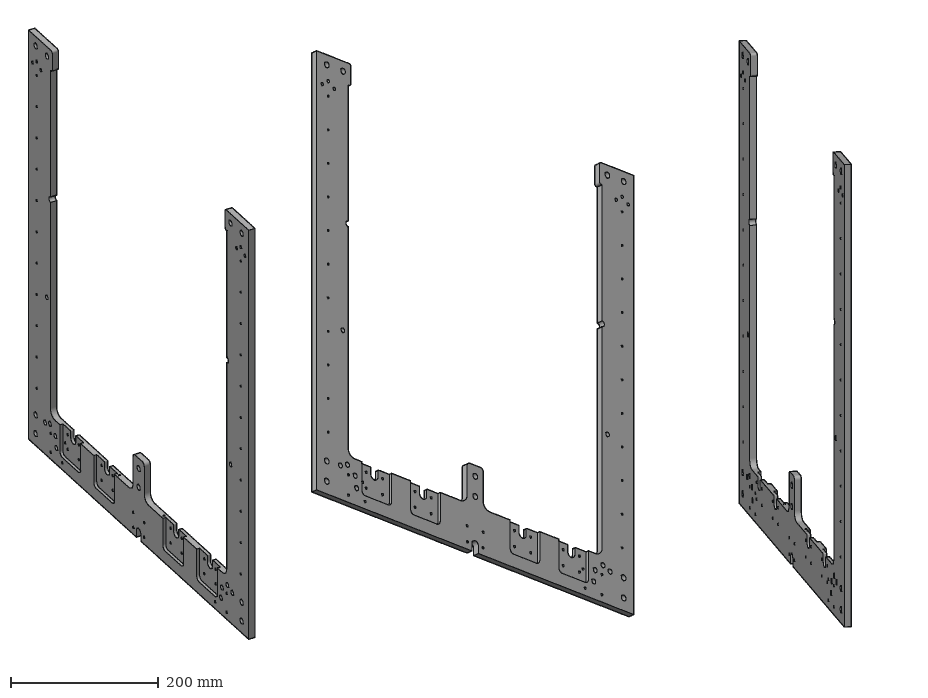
import cadquery as cq


WIDTH = 588.0
HEIGHT = 654.0
THICKNESS = 10.0
ARM_WIDTH = 59.0
CROSSBAR_HEIGHT = 68.5
INNER_CORNER_RADIUS = 12.0

HEAD_WIDTH = 63.5
HEAD_HEIGHT = 33.0
HEAD_CORNER_RADIUS = 3.0
HEAD_HOLE_TOP_DISTANCE = 15.0

TAB_WIDTH = 30.0
TAB_TOP = 129.5
TAB_CORNER_RADIUS = 5.0

HOLE_PITCH = 30.0
MOUNT_DIAMETER = 8.5
MOUNT_EDGE_DISTANCE = 19.0

TAB_HOLE_DIAMETER = 8.5
TAB_HOLE_TOP_DISTANCE = 16.5

ROW_DIAMETER = 2.55
ROW_EDGE_DISTANCE = 21.5
ROW_BOTTOM = 93.0
ROW_TOP = 593.0
ROW_COUNT = 11

TRIO_DIAMETER = 4.3
TRIO_HALF_SPAN = 11.0
TRIO_LOWER_Z = 607.5
TRIO_UPPER_Z = 615.5

ARM_HOLE_DIAMETER = 6.5
ARM_HOLE_X = 245.0
ARM_HOLE_Z = 253.0
ARM_NOTCH_DIAMETER = 8.5
ARM_NOTCH_Z = 414.5

CORNER_HOLE_DIAMETER = 7.0
CORNER_HOLES = [(250.0, 50.5), (237.0, 55.5), (222.5, 44.0), (220.0, 26.0)]

PIN_DIAMETER = 3.2
PIN_LOWER_Z = 11.0
MIDDLE_LOWER_PIN_X = 14.5
CORNER_PIN_XS = [204.0, 235.0]
CORNER_PIN_UPPER_Z = PIN_LOWER_Z + HOLE_PITCH
POCKET_PIN_LOWER_Z = 34.5
POCKET_PIN_UPPER_Z = 58.0

POCKET_CENTERS = [92.0, 182.5]
POCKET_WIDTH = 55.0
POCKET_BOTTOM = 19.5
POCKET_DEPTH = 4.5
POCKET_CORNER_RADIUS = 6.5
SLOT_WIDTH = 13.0
SLOT_BOTTOM = 51.5
SLOT_MOUTH_RADIUS = 1.0

EDGE_HOLE_DIAMETER = 2.55
EDGE_HOLE_X = 59.5
EDGE_HOLE_DEPTH = 10.0

BASE_SLOT_WIDTH = 12.0
BASE_SLOT_TOP = 17.0

SELECT_MARGIN = 0.5

half_width = WIDTH / 2
arm_inner_x = half_width - ARM_WIDTH
head_inner_x = half_width - HEAD_WIDTH
head_bottom_z = HEIGHT - HEAD_HEIGHT
row_x = half_width - ROW_EDGE_DISTANCE
row_pitch = (ROW_TOP - ROW_BOTTOM) / (ROW_COUNT - 1)
mount_x = half_width - MOUNT_EDGE_DISTANCE


def box(x_min, x_max, z_min, z_max, depth=THICKNESS):
    """Block from the front face to the given depth."""
    block = cq.Workplane("XY").box(x_max - x_min, depth, z_max - z_min, centered=False)
    return block.translate((x_min, 0, z_min))


def cylinders(diameter, points):
    """Cylinders through the plate at (x, z) points."""
    return cq.Workplane("XZ").pushPoints(points).circle(diameter / 2).extrude(-THICKNESS)


def mirrored(points):
    """Points together with their mirror images about X = 0."""
    return points + [(-x, z) for x, z in points]


def grid(xs, zs):
    """Every (x, z) combination of the given positions."""
    return [(x, z) for x in xs for z in zs]


def pair(center):
    """Two positions one hole pitch apart."""
    return [center - HOLE_PITCH / 2, center + HOLE_PITCH / 2]


def round_edges(body, x, z, radius):
    """Fillet the thickness edges at (x, z) and (-x, z)."""
    for side in (-1, 1):
        corner = cq.selectors.BoxSelector(
            (side * x - SELECT_MARGIN, 0, z - SELECT_MARGIN),
            (side * x + SELECT_MARGIN, THICKNESS, z + SELECT_MARGIN),
        )
        body = body.edges("|Y").edges(corner).fillet(radius)
    return body


def make_plate():
    right_half = [
        (half_width, 0),
        (half_width, HEIGHT),
        (head_inner_x, HEIGHT),
        (head_inner_x, head_bottom_z),
        (arm_inner_x, head_bottom_z),
        (arm_inner_x, CROSSBAR_HEIGHT),
        (TAB_WIDTH / 2, CROSSBAR_HEIGHT),
        (TAB_WIDTH / 2, TAB_TOP),
    ]
    left_half = [(-x, z) for x, z in reversed(right_half)]
    plate = cq.Workplane("XZ").polyline(right_half + left_half).close().extrude(-THICKNESS)

    plate = round_edges(plate, head_inner_x, HEIGHT, HEAD_CORNER_RADIUS)
    plate = round_edges(plate, head_inner_x, head_bottom_z, HEAD_CORNER_RADIUS)
    plate = round_edges(plate, arm_inner_x, CROSSBAR_HEIGHT, INNER_CORNER_RADIUS)
    plate = round_edges(plate, TAB_WIDTH / 2, CROSSBAR_HEIGHT, INNER_CORNER_RADIUS)
    return round_edges(plate, TAB_WIDTH / 2, TAB_TOP, TAB_CORNER_RADIUS)


def make_crossbar_slot():
    """Round-ended slot at X = 0, with a mouth rounded outward at the crossbar top."""
    radius = SLOT_WIDTH / 2
    center_z = SLOT_BOTTOM + radius
    mouth_half = radius + SLOT_MOUTH_RADIUS
    mouth_z = CROSSBAR_HEIGHT - SLOT_MOUTH_RADIUS
    mouth = box(-mouth_half, mouth_half, mouth_z, CROSSBAR_HEIGHT)
    mouth = mouth.cut(cylinders(2 * SLOT_MOUTH_RADIUS, mirrored([(mouth_half, mouth_z)])))
    slot = box(-radius, radius, center_z, CROSSBAR_HEIGHT)
    return slot.union(cylinders(SLOT_WIDTH, [(0, center_z)])).union(mouth)


def make_pocket(center_x):
    """Front recess with rounded lower corners, plus its through slot."""
    left = center_x - POCKET_WIDTH / 2
    right = center_x + POCKET_WIDTH / 2
    recess = box(left, right, POCKET_BOTTOM, CROSSBAR_HEIGHT, POCKET_DEPTH)
    recess = recess.faces("<Z").edges("|Y").fillet(POCKET_CORNER_RADIUS)
    return recess.union(make_crossbar_slot().translate((center_x, 0, 0)))


def make_base_slot():
    radius = BASE_SLOT_WIDTH / 2
    center_z = BASE_SLOT_TOP - radius
    return box(-radius, radius, 0, center_z).union(cylinders(BASE_SLOT_WIDTH, [(0, center_z)]))


def make_edge_holes():
    """Vertical holes at mid-thickness in the top of the crossbar."""
    return (
        cq.Workplane("XY", origin=(0, THICKNESS / 2, CROSSBAR_HEIGHT))
        .pushPoints(mirrored([(EDGE_HOLE_X, 0)]))
        .circle(EDGE_HOLE_DIAMETER / 2)
        .extrude(-EDGE_HOLE_DEPTH)
    )


mount_xs = [mount_x, mount_x - HOLE_PITCH]
mount_holes = [(x, HEIGHT - HEAD_HOLE_TOP_DISTANCE) for x in mount_xs]
mount_holes += [(mount_x, z) for z in (MOUNT_EDGE_DISTANCE, MOUNT_EDGE_DISTANCE + HOLE_PITCH)]

tab_hole_z = TAB_TOP - TAB_HOLE_TOP_DISTANCE
tab_holes = [(0, tab_hole_z), (0, tab_hole_z - HOLE_PITCH)]

row_holes = [(row_x, ROW_BOTTOM + i * row_pitch) for i in range(ROW_COUNT)]

trio_holes = [
    (row_x - TRIO_HALF_SPAN, TRIO_LOWER_Z),
    (row_x + TRIO_HALF_SPAN, TRIO_LOWER_Z),
    (row_x, TRIO_UPPER_Z),
]

pins = grid(CORNER_PIN_XS, [PIN_LOWER_Z, CORNER_PIN_UPPER_Z])
for pocket_x in POCKET_CENTERS:
    pins += grid(pair(pocket_x), [POCKET_PIN_LOWER_Z, POCKET_PIN_UPPER_Z])
pins += [(MIDDLE_LOWER_PIN_X, PIN_LOWER_Z), (HOLE_PITCH / 2, POCKET_PIN_LOWER_Z)]

result = make_plate()
for pocket_x in POCKET_CENTERS:
    for side in (-1, 1):
        result = result.cut(make_pocket(side * pocket_x))
result = result.cut(make_base_slot())
result = result.cut(make_edge_holes())

result = result.cut(cylinders(MOUNT_DIAMETER, mirrored(mount_holes)))
result = result.cut(cylinders(TAB_HOLE_DIAMETER, tab_holes))
result = result.cut(cylinders(ROW_DIAMETER, mirrored(row_holes)))
result = result.cut(cylinders(TRIO_DIAMETER, mirrored(trio_holes)))
result = result.cut(cylinders(ARM_HOLE_DIAMETER, mirrored([(ARM_HOLE_X, ARM_HOLE_Z)])))
result = result.cut(cylinders(ARM_NOTCH_DIAMETER, mirrored([(arm_inner_x, ARM_NOTCH_Z)])))
result = result.cut(cylinders(CORNER_HOLE_DIAMETER, mirrored(CORNER_HOLES)))
result = result.cut(cylinders(PIN_DIAMETER, mirrored(pins)))